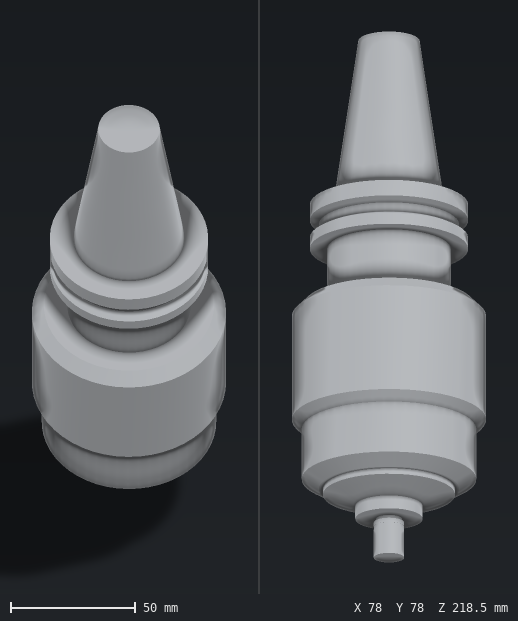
import cadquery as cq

total_length = 218.5
body_diameter = 78.0
nose_diameter = 70.0
nose_end_diameter = 56.3
cap_diameter = 53.0
boss_diameter = 27.0
pin_diameter = 12.2
pin_groove_diameter = 12.0
pin_neck_diameter = 10.5
shank_neck_diameter = 49.5
flange_diameter = 63.5
flange_groove_diameter = 56.3
taper_base_diameter = 44.5
taper_tip_diameter = 24.7

pin_groove_bottom = 11.8
pin_groove_top = 13.0
pin_top = 14.9
boss_bottom = 16.4
boss_top = 21.8
cap_bottom = 26.6
cap_top = 29.0
nose_bottom = 33.2
body_bottom = 58.3
body_top = 107.0
flange_bottom = 130.5
groove_outer_bottom = 135.2
groove_inner_bottom = 137.2
groove_inner_top = 140.9
groove_outer_top = 142.6
flange_top = 149.2
taper_start = 150.3

body_top_chamfer = 4.8
body_bottom_chamfer = (body_diameter - nose_diameter) / 2


def cone(bottom, top, bottom_diameter, top_diameter):
    """Solid of revolution about Z between two heights."""
    profile = [
        (0, bottom),
        (bottom_diameter / 2, bottom),
        (top_diameter / 2, top),
        (0, top),
    ]
    return cq.Workplane("XZ").polyline(profile).close().revolve(360, (0, 0, 0), (0, 1, 0))


def cylinder(bottom, top, diameter):
    return cone(bottom, top, diameter, diameter)


pin = (
    cylinder(0, pin_groove_bottom, pin_diameter)
    .union(cylinder(pin_groove_bottom, pin_groove_top, pin_groove_diameter))
    .union(cylinder(pin_groove_top, pin_top, pin_diameter))
    .union(cylinder(pin_top, boss_bottom, pin_neck_diameter))
)

nose = (
    cylinder(boss_bottom, boss_top, boss_diameter)
    .union(cone(boss_top, cap_bottom, boss_diameter, cap_diameter))
    .union(cylinder(cap_bottom, cap_top, cap_diameter))
    .union(cone(cap_top, nose_bottom, nose_end_diameter, nose_diameter))
    .union(cylinder(nose_bottom, body_bottom - body_bottom_chamfer, nose_diameter))
)

body_shoulder = body_top - body_top_chamfer
body_top_diameter = body_diameter - 2 * body_top_chamfer
body = (
    cone(body_bottom - body_bottom_chamfer, body_bottom, nose_diameter, body_diameter)
    .union(cylinder(body_bottom, body_shoulder, body_diameter))
    .union(cone(body_shoulder, body_top, body_diameter, body_top_diameter))
)

flange = (
    cylinder(body_top, flange_bottom, shank_neck_diameter)
    .union(cylinder(flange_bottom, groove_outer_bottom, flange_diameter))
    .union(cone(groove_outer_bottom, groove_inner_bottom, flange_diameter, flange_groove_diameter))
    .union(cylinder(groove_inner_bottom, groove_inner_top, flange_groove_diameter))
    .union(cone(groove_inner_top, groove_outer_top, flange_groove_diameter, flange_diameter))
    .union(cylinder(groove_outer_top, flange_top, flange_diameter))
)

taper = cylinder(flange_top, taper_start, taper_base_diameter).union(
    cone(taper_start, total_length, taper_base_diameter, taper_tip_diameter)
)

result = pin.union(nose).union(body).union(flange).union(taper)